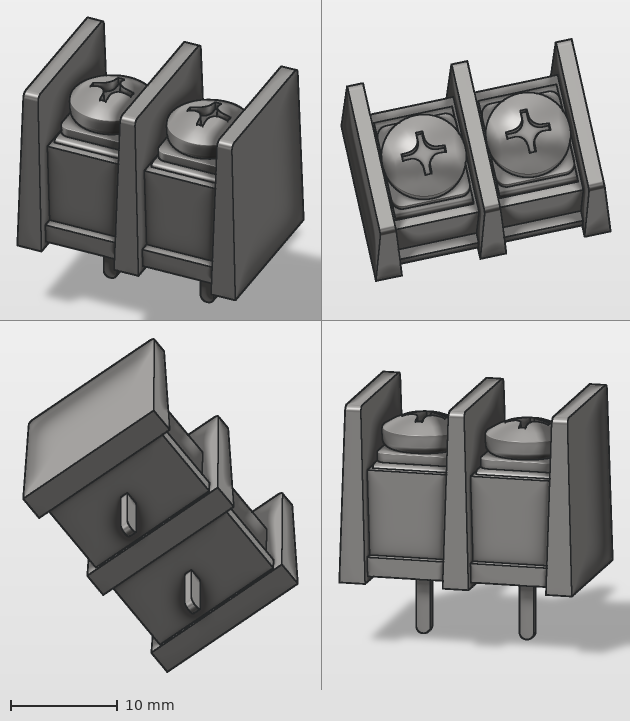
import cadquery as cq
import math

pole_count = 2
pole_pitch = 10.0

wall_height = 17.0
wall_base_thickness = 2.5
wall_top_thickness = 1.5
wall_base_depth = 15.3
wall_top_depth = 14.7
wall_corner_radius = 0.6

floor_height = 0.5
ledge_top = 2.35
ledge_depth = 13.27
deck_height = 10.5
deck_depth = 11.35

plate_width = 7.5
plate_thickness = 0.37
plate_flat_depth = 8.5
plate_edge_radius = 0.6

washer_width = plate_width
washer_depth = 8.0
washer_thickness = 0.93
washer_corner_radius = 1.0
washer_edge_radius = 0.1

head_radius = 4.0
head_rim_radius = 3.95
head_seat_radius = 3.25
head_rim_bottom = 0.77
head_rim_top = 1.85
head_height = 3.13
head_edge_radius = 0.1
recess_depth = 1.02
recess_draft = 5.0
recess_length = 4.22
recess_arm_width = 0.7
recess_corner_radius = 1.05

pin_width = 1.4
pin_thickness = 0.8
pin_reach = 6.2
pin_tip_radius = 0.67

block_length = pole_count * pole_pitch
plate_top = deck_height + plate_thickness
washer_top = plate_top + washer_thickness
pole_positions = [(i - (pole_count - 1) / 2) * pole_pitch for i in range(pole_count)]
wall_positions = [(i - pole_count / 2) * pole_pitch for i in range(pole_count + 1)]


def make_wall(x):
    """Barrier wall tapering on all four sides, with rounded upper corners."""
    wall = (
        cq.Workplane("XY")
        .rect(wall_base_thickness, wall_base_depth)
        .workplane(offset=wall_height)
        .rect(wall_top_thickness, wall_top_depth)
        .loft(ruled=True)
    )
    wall = wall.faces(">Z").edges("|X").fillet(wall_corner_radius)
    return wall.translate((x, 0, 0))


def make_block(depth, top):
    """Block running through all the walls, from the raised floor up to the given height."""
    return (
        cq.Workplane("XY", origin=(0, 0, floor_height))
        .box(block_length, depth, top - floor_height, centered=(True, True, False))
    )


def make_housing():
    """Wider ledge block and taller deck block, divided into poles by the barrier walls."""
    housing = make_block(ledge_depth, ledge_top).union(make_block(deck_depth, deck_height))
    for x in wall_positions:
        housing = housing.union(make_wall(x))
    return housing


def make_plate(x):
    """Flat plate lying on the deck, its long edges curving down to the deck."""
    half_flat = plate_flat_depth / 2
    edge_angle = math.acos(1 - plate_thickness / plate_edge_radius)

    def edge_point(angle):
        drop = plate_edge_radius * (1 - math.cos(angle))
        return half_flat + plate_edge_radius * math.sin(angle), plate_top - drop

    middle_y, middle_z = edge_point(edge_angle / 2)
    end_y, end_z = edge_point(edge_angle)
    return (
        cq.Workplane("YZ", origin=(x, 0, 0))
        .moveTo(-half_flat, plate_top)
        .lineTo(half_flat, plate_top)
        .threePointArc((middle_y, middle_z), (end_y, end_z))
        .lineTo(-end_y, end_z)
        .threePointArc((-middle_y, middle_z), (-half_flat, plate_top))
        .close()
        .extrude(plate_width / 2, both=True)
    )


def make_washer(x):
    """Square washer with rounded corners and softened edges."""
    return (
        cq.Workplane("XY", origin=(x, 0, plate_top))
        .box(washer_width, washer_depth, washer_thickness, centered=(True, True, False))
        .edges("|Z")
        .fillet(washer_corner_radius)
        .faces("<Z or >Z")
        .edges()
        .fillet(washer_edge_radius)
    )


def rotated(point, angle):
    """Point turned about the origin by an angle in radians."""
    x, y = point
    return (
        x * math.cos(angle) - y * math.sin(angle),
        x * math.sin(angle) + y * math.cos(angle),
    )


def make_cross_recess():
    """Cross-shaped cutter with rounded inner corners, narrowing downwards from the top of the head."""
    tip = recess_length / 2
    side = recess_arm_width / 2
    arc_start = side + recess_corner_radius
    arc_middle = arc_start - recess_corner_radius * math.cos(math.pi / 4)

    outline = cq.Workplane("XY", origin=(0, 0, head_height)).moveTo(arc_start, -side)
    for quarter in range(4):
        angle = quarter * math.pi / 2
        for corner in [(tip, -side), (tip, side), (arc_start, side)]:
            outline = outline.lineTo(*rotated(corner, angle))
        outline = outline.threePointArc(
            rotated((arc_middle, arc_middle), angle), rotated((side, arc_start), angle)
        )
    return outline.close().extrude(-recess_depth, taper=recess_draft)


def make_screw(x):
    """Domed screw head resting on the washer."""
    dome_rise = head_height - head_rim_top
    dome_radius = (head_rim_radius**2 + dome_rise**2) / (2 * dome_rise)
    seat_bend = head_rim_radius - head_seat_radius
    seat_bend_middle = (
        head_seat_radius + seat_bend * math.sin(math.pi / 4),
        head_rim_bottom * (1 - math.cos(math.pi / 4)),
    )
    rim_middle = (head_radius, (head_rim_bottom + head_rim_top) / 2)
    head = (
        cq.Workplane("XZ")
        .lineTo(head_seat_radius, 0)
        .threePointArc(seat_bend_middle, (head_rim_radius, head_rim_bottom))
        .threePointArc(rim_middle, (head_rim_radius, head_rim_top))
        .radiusArc((0, head_height), -dome_radius)
        .close()
        .revolve(360, (0, 0, 0), (0, 1, 0))
    )
    rim = cq.selectors.BoxSelector(
        (-head_radius, -head_radius, head_rim_top - head_edge_radius),
        (head_radius, head_radius, head_rim_top + head_edge_radius),
        boundingbox=True,
    )
    head = head.edges(rim).fillet(head_edge_radius)
    return head.cut(make_cross_recess()).translate((x, 0, washer_top))


def make_pin(x):
    """Flat solder pin hanging from the floor, with a rounded tip."""
    return (
        cq.Workplane("XY", origin=(x, 0, -pin_reach))
        .box(pin_width, pin_thickness, pin_reach + floor_height, centered=(True, True, False))
        .faces("<Z")
        .edges("|Y")
        .fillet(pin_tip_radius)
    )


housing = make_housing()
plates = [make_plate(x) for x in pole_positions]
washers = [make_washer(x) for x in pole_positions]
screws = [make_screw(x) for x in pole_positions]
pins = [make_pin(x) for x in pole_positions]

terminals = plates + washers + screws + pins
result = cq.Compound.makeCompound([housing.val(), *[body.val() for body in terminals]])